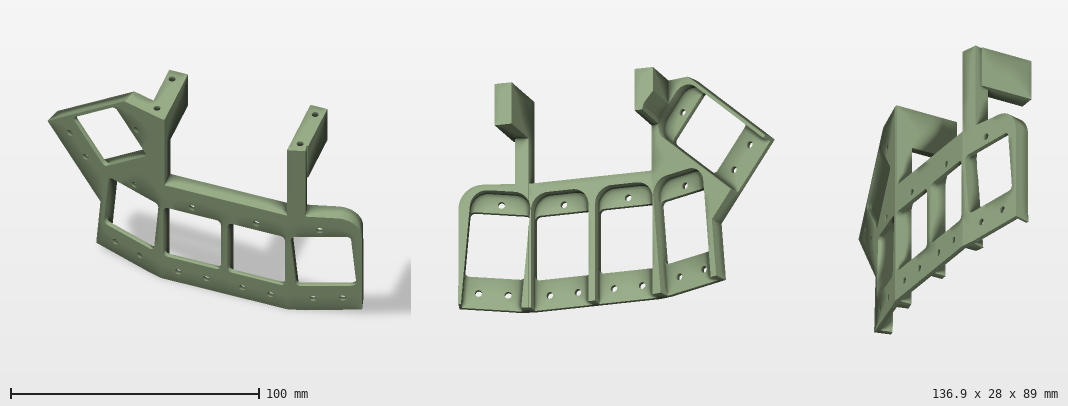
import cadquery as cq
import math

PLATE_T = 7.0
LEDGE_T = 2.0
TOTAL_H = 89.0
TOTAL_DEPTH = 28.0
BAR_H = 52.4
WING_ANGLE = 15.0
OVERCUT = 20.0
FAR = 200.0

WINDOW_W = 24.5
WINDOW_H = 27.3
WINDOW_R = 2.0
MODULE_PITCH = 27.4
POCKET_TOP = 21.7
POCKET_R = 7.0
SCREW_D = 2.8
UPPER_SCREW_RISE = 17.2
LOWER_SCREW_DROP = 20.5
LOWER_SCREW_SPACING = 12.0
RIM = 0.9

HINGE_X = MODULE_PITCH / 2 + WINDOW_W / 2 + RIM

MIDDLE_MODULES = [(-MODULE_PITCH / 2, 26.4, 0), (MODULE_PITCH / 2, 26.4, 0)]
LOWER_MODULE = (14.75, 27.9, 5.0)
UPPER_MODULE = (25.3, 65.2, 50.0)

LOWER_BLOCK_HALF_W = 14.9
LOWER_BLOCK_DROP = 27.0
UPPER_BLOCK_HALF_W = 13.6
UPPER_BLOCK_DROP = 28.38

RIGHT_END_BOTTOM = 30.37
RIGHT_END_TOP = 30.2
RIGHT_CORNER_R = 10.0

LEFT_POST_INNER_X = -25.5
LEFT_POST_W = 8.0
RIGHT_POST_W = 7.25
TAB_H = 17.5
TAB_FRONT_Y = PLATE_T - LEDGE_T
LEFT_TAB_EDGE_H = 10.0
MOUNT_HOLE_X = 30.6
MOUNT_HOLE_YS = (5.3, 23.3)
MOUNT_HOLE_D = 2.8
MOUNT_HOLE_DEPTH = 8.0

TAB_FACETS = [(3.8, 40.0), (1.6, 32.0), (2.1, 13.0)]


def module_point(module, across, up):
    """Plate coordinates of a point given in a module's own tilted frame."""
    u, z, tilt = module
    c = math.cos(math.radians(tilt))
    s = math.sin(math.radians(tilt))
    return (u + across * c - up * s, z + across * s + up * c)


def line_crossing(p, p_angle, q, q_angle):
    """Crossing of two lines, each given by a point and a direction in degrees."""
    pc, ps = math.cos(math.radians(p_angle)), math.sin(math.radians(p_angle))
    qc, qs = math.cos(math.radians(q_angle)), math.sin(math.radians(q_angle))
    t = ((q[0] - p[0]) * qs - (q[1] - p[1]) * qc) / (pc * qs - ps * qc)
    return (p[0] + t * pc, p[1] + t * ps)


def module_cutter(module):
    """Window, rear pocket open at its lower end, and screw holes of one module."""
    u, z, tilt = module
    window = cq.Workplane("XY").rect(WINDOW_W, WINDOW_H).extrude(PLATE_T)
    window = window.edges("|Z").fillet(WINDOW_R)

    pocket_bottom = -LOWER_SCREW_DROP - OVERCUT
    pocket_h = POCKET_TOP - pocket_bottom
    pocket = (
        cq.Workplane("XY", origin=(0, POCKET_TOP - pocket_h / 2, LEDGE_T))
        .rect(WINDOW_W, pocket_h)
        .extrude(PLATE_T - LEDGE_T)
    )
    pocket = pocket.edges("|Z and >Y").fillet(POCKET_R)

    screw_points = [
        (0, UPPER_SCREW_RISE),
        (-LOWER_SCREW_SPACING / 2, -LOWER_SCREW_DROP),
        (LOWER_SCREW_SPACING / 2, -LOWER_SCREW_DROP),
    ]
    screws = cq.Workplane("XY").pushPoints(screw_points).circle(SCREW_D / 2).extrude(PLATE_T)

    cutter = window.union(pocket).union(screws)
    return cutter.rotate((0, 0, 0), (0, 0, 1), tilt).translate((u, z, 0))


def left_plane(hinge_x, sweep):
    """Front plane of a plate: local x outward to -X, local y up, normal to the rear."""
    c = math.cos(math.radians(sweep))
    s = math.sin(math.radians(sweep))
    return cq.Plane(origin=(-hinge_x, 0, 0), xDir=(-c, s, 0), normal=(s, c, 0))


MIDDLE_PLANE = left_plane(0, 0)
WING_PLANE = left_plane(HINGE_X, WING_ANGLE)


def on_plane(shape, plane):
    return cq.Workplane(obj=shape.val().moved(cq.Location(plane)))


def slab(x_range, y_range, z_range):
    """Axis-aligned block between the given limits."""
    size = [hi - lo for lo, hi in (x_range, y_range, z_range)]
    start = (x_range[0], y_range[0], z_range[0])
    return cq.Workplane("XY").box(*size, centered=False).translate(start)


def lower_edge_start():
    """Point where the tilted lower edge of a wing leaves the flat bottom."""
    corner = module_point(LOWER_MODULE, LOWER_BLOCK_HALF_W, -LOWER_BLOCK_DROP)
    return line_crossing(corner, LOWER_MODULE[2], (0, 0), 0)


def left_wing_blank():
    lower_tilt = LOWER_MODULE[2]
    upper_tilt = UPPER_MODULE[2]
    lower_corner = module_point(LOWER_MODULE, LOWER_BLOCK_HALF_W, -LOWER_BLOCK_DROP)
    upper_corner = module_point(UPPER_MODULE, UPPER_BLOCK_HALF_W, -UPPER_BLOCK_DROP)
    notch = line_crossing(lower_corner, lower_tilt + 90, upper_corner, upper_tilt)
    shoulder = line_crossing(upper_corner, upper_tilt + 90, (0, TOTAL_H), 0)
    outline = [(0, 0), lower_edge_start(), lower_corner, notch, upper_corner, shoulder, (0, TOTAL_H)]
    return cq.Workplane("XY").polyline(outline).close().extrude(PLATE_T)


def right_wing_blank():
    """Right wing in the left-hand frame; it is mirrored into place later."""
    post_w = RIGHT_POST_W / math.cos(math.radians(WING_ANGLE))
    end_angle = math.degrees(math.atan2(BAR_H, RIGHT_END_TOP - RIGHT_END_BOTTOM))
    lower_corner = line_crossing(lower_edge_start(), LOWER_MODULE[2], (RIGHT_END_BOTTOM, 0), end_angle)
    outline = [(0, 0), lower_edge_start(), lower_corner, (RIGHT_END_TOP, BAR_H), (0, BAR_H)]
    wing = cq.Workplane("XY").polyline(outline).close().extrude(PLATE_T)
    upper_corner = cq.selectors.NearestToPointSelector((RIGHT_END_TOP, BAR_H, PLATE_T / 2))
    wing = wing.edges(upper_corner).fillet(RIGHT_CORNER_R)
    post = slab((0, post_w), (0, TOTAL_H), (0, PLATE_T))
    return wing.union(post)


def left_tab():
    """Mounting tab whose underside steps down in facets toward its inner side."""
    x = LEFT_POST_INNER_X - LEFT_POST_W
    z = TOTAL_H - LEFT_TAB_EDGE_H
    outline = [(x, TOTAL_H), (x, z)]
    for drop, lean in TAB_FACETS:
        x += drop * math.tan(math.radians(lean))
        z -= drop
        outline.append((x, z))
    outline += [(LEFT_POST_INNER_X, z), (LEFT_POST_INNER_X, TOTAL_H)]
    profile = cq.Workplane("XZ", origin=(0, TAB_FRONT_Y, 0)).polyline(outline).close()
    return profile.extrude(TAB_FRONT_Y - TOTAL_DEPTH)


def left_wing():
    limits = slab((-FAR, LEFT_POST_INNER_X), (0, TOTAL_DEPTH), (0, TOTAL_H))
    wing = on_plane(left_wing_blank(), WING_PLANE).intersect(limits)
    post_edge = slab((-HINGE_X, LEFT_POST_INNER_X), (0, PLATE_T), (0, TOTAL_H))
    return wing.union(post_edge).union(left_tab())


def right_wing():
    limits = slab((-FAR, -HINGE_X), (0, TOTAL_DEPTH), (0, TOTAL_H))
    wing = on_plane(right_wing_blank(), WING_PLANE).intersect(limits)
    tab = slab((-HINGE_X - RIGHT_POST_W, -HINGE_X), (TAB_FRONT_Y, TOTAL_DEPTH), (TOTAL_H - TAB_H, TOTAL_H))
    return wing.union(tab).mirror("YZ")


def module_cutters():
    """Cutters of all five modules at their places in the part."""
    cutters = [on_plane(module_cutter(module), MIDDLE_PLANE) for module in MIDDLE_MODULES]
    for module in (LOWER_MODULE, UPPER_MODULE):
        cutters.append(on_plane(module_cutter(module), WING_PLANE))
    cutters.append(on_plane(module_cutter(LOWER_MODULE), WING_PLANE).mirror("YZ"))
    return cutters


def mount_holes():
    points = [(side * MOUNT_HOLE_X, y) for side in (-1, 1) for y in MOUNT_HOLE_YS]
    top = cq.Workplane("XY", origin=(0, 0, TOTAL_H))
    return top.pushPoints(points).circle(MOUNT_HOLE_D / 2).extrude(-MOUNT_HOLE_DEPTH)


middle_plate = slab((-HINGE_X, HINGE_X), (0, PLATE_T), (0, BAR_H))
result = middle_plate.union(left_wing()).union(right_wing())
for cutter in module_cutters():
    result = result.cut(cutter)
result = result.cut(mount_holes())